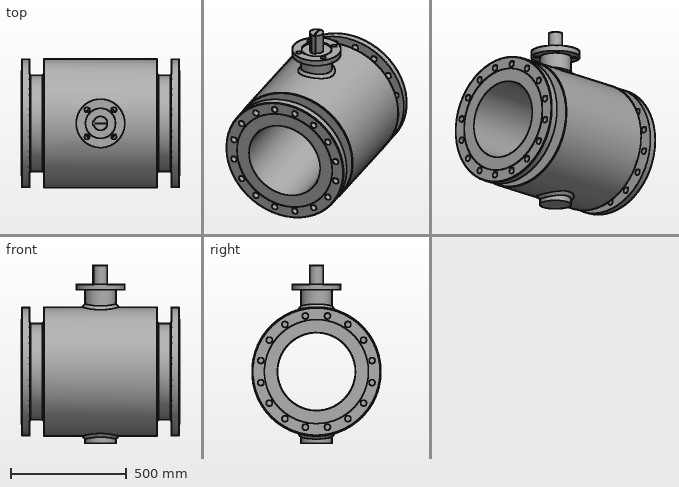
import cadquery as cq
import math


overall_length = 686.0
bore_diameter = 336.0
body_diameter = 558.0
body_length = 492.0
body_edge_chamfer = 2.5
neck_diameter = 418.0
neck_weld_size = 5.0

flange_diameter = 555.0
flange_thickness = 35.0
flange_edge_chamfer = 2.5
raised_face_diameter = 450.0
raised_face_height = 2.0
flange_bolt_circle = 490.0
flange_bolt_hole = 26.0
flange_bolt_count = 16

stem_top = 459.5
stub_bottom = -310.0
stem_neck_diameter = 135.0
saddle_weld_size = 13.0
selection_margin = 1.0

mount_diameter = 210.0
mount_thickness = 24.0
mount_top = 377.0
mount_recess_diameter = 130.0
mount_recess_depth = 5.0
mount_bolt_circle = 165.0
mount_bolt_hole = 22.0
mount_bolt_count = 4

stem_diameter = 60.0
key_width = 18.0
key_reach = 34.0
mark_width = 2.0
mark_depth = 2.0
mark_start = -23.0

half_length = overall_length / 2
flange_face_x = half_length - raised_face_height
flange_back_x = flange_face_x - flange_thickness
half_body = body_length / 2
mount_bottom = mount_top - mount_thickness
recess_floor = mount_top - mount_recess_depth


def x_cylinder(diameter, x_start, length):
    """Cylinder on the flow axis, from x_start toward +X."""
    return cq.Workplane("YZ").workplane(offset=x_start).circle(diameter / 2).extrude(length)


def z_cylinder(diameter, z_start, z_end):
    """Cylinder on the stem axis between two heights."""
    return cq.Workplane("XY").workplane(offset=z_start).circle(diameter / 2).extrude(z_end - z_start)


def make_shell():
    """Body barrel with the stem neck and bottom stub, chamfer welds where they meet."""
    barrel = x_cylinder(body_diameter, -half_body, body_length)
    barrel = barrel.faces("<X or >X").edges().chamfer(body_edge_chamfer)
    shell = barrel.union(z_cylinder(stem_neck_diameter, stub_bottom, mount_bottom))
    barrel_radius = body_diameter / 2
    saddle_reach = stem_neck_diameter / 2 + selection_margin
    saddle_low = math.sqrt(barrel_radius**2 - saddle_reach**2) - selection_margin
    saddle_high = barrel_radius + selection_margin
    for side in (-1, 1):
        saddle_zone = cq.selectors.BoxSelector(
            (-saddle_reach, -saddle_reach, side * saddle_low),
            (saddle_reach, saddle_reach, side * saddle_high),
            boundingbox=True,
        )
        shell = shell.edges(saddle_zone).chamfer(saddle_weld_size)
    return shell


def make_end():
    """Neck, flange, raised face and conical weld beads of the +X end, revolved about X."""
    neck_radius = neck_diameter / 2
    bead_radius = neck_radius + neck_weld_size
    flange_radius = flange_diameter / 2
    raised_radius = raised_face_diameter / 2
    profile = [
        (0, 0),
        (0, bead_radius),
        (half_body, bead_radius),
        (half_body + neck_weld_size, neck_radius),
        (flange_back_x - neck_weld_size, neck_radius),
        (flange_back_x, bead_radius),
        (flange_back_x, flange_radius),
        (flange_face_x - flange_edge_chamfer, flange_radius),
        (flange_face_x, flange_radius - flange_edge_chamfer),
        (flange_face_x, raised_radius),
        (half_length, raised_radius),
        (half_length, 0),
    ]
    end = cq.Workplane("XY").polyline(profile).close().revolve(360, (0, 0, 0), (1, 0, 0))
    holes = (
        cq.Workplane("YZ")
        .workplane(offset=flange_back_x)
        .polarArray(flange_bolt_circle / 2, 180 / flange_bolt_count, 360, flange_bolt_count)
        .circle(flange_bolt_hole / 2)
        .extrude(flange_thickness)
    )
    return end.cut(holes)


def make_mount():
    """Actuator mounting flange with a shallow centring recess and four bolt holes."""
    mount = z_cylinder(mount_diameter, mount_bottom, mount_top)
    recess = z_cylinder(mount_recess_diameter, recess_floor, mount_top)
    holes = (
        cq.Workplane("XY")
        .workplane(offset=mount_bottom)
        .polarArray(mount_bolt_circle / 2, 180 / mount_bolt_count, 360, mount_bolt_count)
        .circle(mount_bolt_hole / 2)
        .extrude(mount_thickness)
    )
    return mount.cut(recess).cut(holes)


def make_stem():
    """Stem with a full-height key on -X and a position slot in its top, open toward +X."""
    stem_height = stem_top - recess_floor
    stem = z_cylinder(stem_diameter, recess_floor, stem_top)
    key = cq.Workplane("XY").box(key_reach, key_width, stem_height, centered=(False, True, False))
    mark_length = stem_diameter / 2 - mark_start
    mark = cq.Workplane("XY").box(mark_length, mark_width, mark_depth, centered=(False, True, False))
    stem = stem.union(key.translate((-key_reach, 0, recess_floor)))
    return stem.cut(mark.translate((mark_start, 0, stem_top - mark_depth)))


right_end = make_end()
left_end = right_end.mirror("YZ")
bore = x_cylinder(bore_diameter, -half_length, overall_length)

valve = make_shell().union(right_end).union(left_end)
valve = valve.union(make_mount()).union(make_stem())
result = valve.cut(bore)